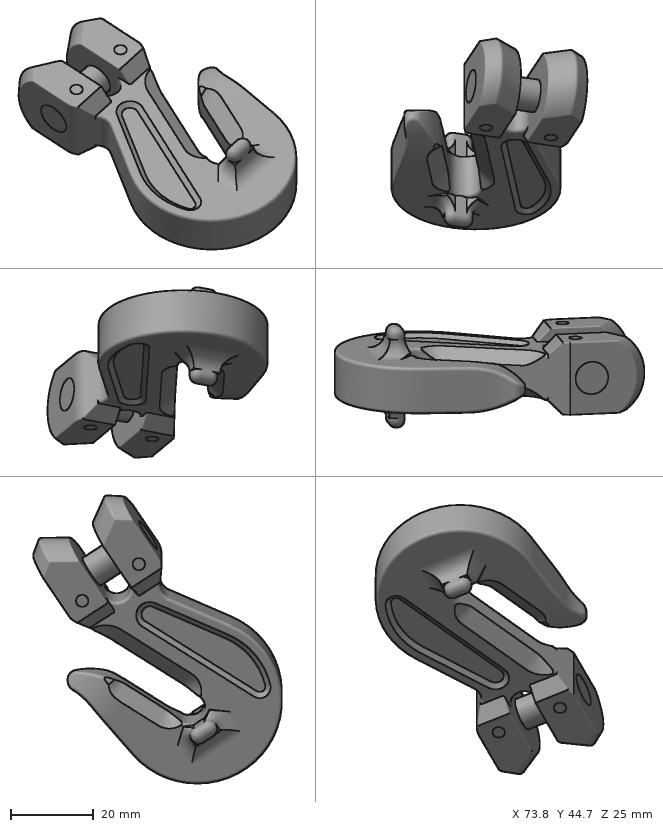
import cadquery as cq
import math


head_half_width = 13.0
head_half_height = 9.0
gap_half_width = 3.4
gap_centre_x = 5.74
plate_start_x = 7.5
nose_x = -13.76
nose_y = 9.5
nose_arc_depth = 4.6
nose_outer_setback = 2.6
nose_inner_setback = 3.9
ear_back_x = 3.5
slope_start_x = 7.0
nose_ridge_radius = 0.75
head_edge_radius = 0.35
head_corner_radius = 4.9

plate_half_thickness = 5.7
plate_edge_radius = 0.8
bowl_centre = (39.75, -0.87)
bowl_radius = 20.43
shank_angle = 32.6
neck_angle = 38.0
neck_point = (8.6, -11.0)
neck_radius = 3.5
back_angle = 7.0
back_end_x = 26.6

slot_angle = 23.8
slot_centre = (40.25, 1.7)
slot_half_width = 3.74
slot_mouth_reach = 15.6
bevel_width = 3.8
bevel_depth = 3.0
bevel_end_radius = 5.2
shank_bevel_start_radius = 6.8
shank_bevel_overlap = 3.2
shank_bevel_span = (-31.3, 0.9)
beak_bevel_overlap = 1.5
beak_bevel_span = (-21.9, 0.9)

tip_centre = (20.3, 21.07)
tip_radius = 2.3
beak_taper_start = (32.2, 20.4)
beak_seam_angle = 70.4
beak_length = 13.65
beak_half_breadth = 12.0
beak_drop = 4.6

panel_offset = 2.35
panel_slot_wall = 7.2
panel_depth = 1.0
panel_inset = 1.3
panel_left_radius = 3.3
panel_right_radius = 2.65

horn_centre = (46.12, 1.55)
horn_radius = 2.0
horn_half_straight = 1.5
horn_top = 12.5
flare_radius = 4.0
flare_clip_x = 3.1
flare_clip_y = 3.8

pin_diameter = 8.0
lock_pin_diameter = 3.0
lock_pin_x = 3.14
lock_pin_y = (gap_half_width + head_half_width) / 2


def unit(degrees):
    angle = math.radians(degrees)
    return (math.cos(angle), math.sin(angle))


def along(point, direction, distance):
    return (point[0] + direction[0] * distance, point[1] + direction[1] * distance)


def dot(a, b):
    return a[0] * b[0] + a[1] * b[1]


def between(start, end):
    return (end[0] - start[0], end[1] - start[1])


def crossing(point_a, direction_a, point_b, direction_b):
    """Point where two lines cross."""
    normal_b = (-direction_b[1], direction_b[0])
    distance = dot(between(point_a, point_b), normal_b) / dot(direction_a, normal_b)
    return along(point_a, direction_a, distance)


def at_x(point, direction, x):
    return along(point, direction, (x - point[0]) / direction[0])


def arc_middle(centre, start, end, radius):
    """Middle of the shorter arc from start to end."""
    chord_middle = along(start, between(start, end), 0.5)
    ray = between(centre, chord_middle)
    return along(centre, ray, radius / math.hypot(*ray))


slot_direction = unit(-slot_angle)
slot_normal = unit(90 - slot_angle)
shank_direction = unit(-shank_angle)
shank_normal = unit(-90 - shank_angle)
neck_direction = unit(neck_angle)
back_direction = unit(-back_angle)
back_normal = unit(90 - back_angle)

slot_low_end = along(slot_centre, slot_normal, -slot_half_width)
slot_high_end = along(slot_centre, slot_normal, slot_half_width)
slot_tip = along(slot_centre, slot_direction, slot_half_width)
shank_tangent = along(bowl_centre, shank_normal, bowl_radius)
back_tangent = along(bowl_centre, back_normal, bowl_radius)
neck_corner = crossing(neck_point, neck_direction, shank_tangent, shank_direction)
plate_top_corner = at_x(slot_low_end, slot_direction, plate_start_x)
plate_low_corner = at_x(neck_point, neck_direction, plate_start_x)
slope_end_x = slope_start_x + head_half_height - plate_half_thickness


def mirrored_pair(body):
    return body.union(body.mirror("XY"))


def plate_blank():
    beak_root = along(slot_high_end, slot_direction, -slot_mouth_reach)
    reach = between(tip_centre, beak_root)
    side_radius = (dot(reach, reach) - tip_radius**2) / (-2 * (dot(reach, slot_normal) + tip_radius))
    side_centre = along(beak_root, slot_normal, side_radius)
    side_ray = between(side_centre, tip_centre)
    side_end = along(side_centre, side_ray, side_radius / math.hypot(*side_ray))

    back_end = at_x(back_tangent, back_direction, back_end_x)
    reach = between(tip_centre, back_end)
    blend_radius = (dot(reach, reach) - tip_radius**2) / (2 * (tip_radius - dot(reach, back_normal)))
    blend_centre = along(back_end, back_normal, blend_radius)
    blend_ray = between(blend_centre, tip_centre)
    blend_end = along(blend_centre, blend_ray, blend_radius / math.hypot(*blend_ray))
    tip_middle = along(tip_centre, unit(135), tip_radius)

    neck_turn = math.radians(neck_angle + shank_angle)
    neck_tangent = neck_radius * math.tan(neck_turn / 2)
    neck_start = along(neck_corner, neck_direction, -neck_tangent)
    neck_end = along(neck_corner, shank_direction, neck_tangent)
    neck_centre = along(neck_end, shank_normal, neck_radius)

    outline = (
        cq.Workplane("XY", origin=(0, 0, -plate_half_thickness))
        .moveTo(*plate_top_corner)
        .lineTo(*slot_low_end)
        .threePointArc(slot_tip, slot_high_end)
        .lineTo(*beak_root)
        .threePointArc(arc_middle(side_centre, beak_root, side_end, side_radius), side_end)
        .threePointArc(tip_middle, blend_end)
        .threePointArc(arc_middle(blend_centre, blend_end, back_end, blend_radius), back_end)
        .lineTo(*back_tangent)
        .threePointArc(along(bowl_centre, (1, 0), bowl_radius), shank_tangent)
        .lineTo(*neck_end)
        .threePointArc(arc_middle(neck_centre, neck_end, neck_start, neck_radius), neck_start)
        .lineTo(*plate_low_corner)
        .lineTo(gap_centre_x, -gap_half_width)
        .threePointArc((gap_centre_x + gap_half_width, 0), (gap_centre_x, gap_half_width))
        .close()
    )
    return outline.extrude(2 * plate_half_thickness)


def beak_taper():
    """Material removed above the beak, leaving a rounded slope that ends thin at the tip."""
    radius = (beak_length**2 + beak_drop**2) / (2 * beak_drop)
    clearance = 2.0
    end_angle = math.asin((beak_length + clearance) / radius)
    end = (radius * math.sin(end_angle), radius * (math.cos(end_angle) - 1))
    middle = (radius * math.sin(end_angle / 2), radius * (math.cos(end_angle / 2) - 1))
    seam = unit(beak_seam_angle)
    toward_tip = unit(beak_seam_angle + 90)
    plane = cq.Plane(
        origin=(*beak_taper_start, plate_half_thickness),
        xDir=(*toward_tip, 0),
        normal=(*seam, 0),
    )
    up = 1 if plane.yDir.z > 0 else -1
    return (
        cq.Workplane(plane)
        .threePointArc((middle[0], up * middle[1]), (end[0], up * end[1]))
        .lineTo(end[0], up * clearance)
        .lineTo(0, up * clearance)
        .close()
        .extrude(beak_half_breadth, both=True)
    )


def slot_bevel(side, span, start_radius, overlap):
    """Tapered cutter that bevels one slot wall; side is +1 for the beak and -1 for the shank.

    The overlap is how far the cutter's centre line lies inside the open slot.
    """
    clearance = 0.5
    slope = bevel_width / bevel_depth
    growth = clearance * slope
    length = span[1] - span[0] + 2 * growth
    width = 2 * (bevel_width + overlap + growth)
    wall_point = along(slot_centre, slot_normal, side * slot_half_width)
    middle = along(wall_point, slot_direction, (span[0] + span[1]) / 2)
    middle = along(middle, slot_normal, -side * overlap)
    plane = cq.Plane(
        origin=(*middle, plate_half_thickness + clearance),
        xDir=(*slot_direction, 0),
        normal=(0, 0, 1),
    )
    blank = cq.Workplane(plane).rect(length, width).extrude(-bevel_depth)
    start_edges, end_edges = [], []
    for edge in blank.edges("|Z").vals():
        centre = edge.Center()
        ahead = dot(between(middle, (centre.x, centre.y)), slot_direction) > 0
        group = end_edges if ahead else start_edges
        group.append(edge)
    rounded = blank.newObject(start_edges).fillet(start_radius + growth)
    rounded = rounded.newObject(end_edges).fillet(bevel_end_radius + growth)
    outline = rounded.faces(">Z").wires().val()
    taper = math.degrees(math.atan(slope))
    return cq.Workplane(plane).add(outline).toPending().extrude(-bevel_depth - clearance, taper=taper)


def panel_recess():
    """Tapered recess whose walls run parallel to the slot and to the outer edge of the shank."""
    wall_low = along(shank_tangent, shank_normal, -panel_offset)
    wall_high = along(slot_low_end, slot_normal, -panel_slot_wall)
    arc_radius = bowl_radius - panel_offset

    left_centre = crossing(
        along(wall_high, slot_normal, -panel_left_radius), slot_direction,
        along(wall_low, shank_normal, -panel_left_radius), shank_direction,
    )
    left_high = along(left_centre, slot_normal, panel_left_radius)
    left_low = along(left_centre, shank_normal, panel_left_radius)
    left_middle = along(left_centre, (-1, 0), panel_left_radius)

    core = along(wall_high, slot_normal, -panel_right_radius)
    from_bowl = between(bowl_centre, core)
    height = dot(from_bowl, slot_normal)
    run = math.sqrt((arc_radius - panel_right_radius) ** 2 - height**2)
    right_centre = along(core, slot_direction, run - dot(from_bowl, slot_direction))
    right_high = along(right_centre, slot_normal, panel_right_radius)
    right_ray = between(bowl_centre, right_centre)
    right_low = along(bowl_centre, right_ray, arc_radius / math.hypot(*right_ray))
    right_middle = along(right_centre, (1, 0), panel_right_radius)

    taper = math.degrees(math.atan2(panel_inset, panel_depth))
    return (
        cq.Workplane("XY", origin=(0, 0, plate_half_thickness))
        .moveTo(*left_high)
        .lineTo(*right_high)
        .threePointArc(right_middle, right_low)
        .threePointArc(arc_middle(bowl_centre, right_low, wall_low, arc_radius), wall_low)
        .lineTo(*left_low)
        .threePointArc(left_middle, left_high)
        .close()
        .extrude(-panel_depth, taper=taper)
    )


def horn():
    centre_x, centre_y = horn_centre
    axis_height = horn_top - horn_radius
    half_length = horn_half_straight + horn_radius
    bar = (
        cq.Workplane("XY", origin=(centre_x, centre_y, 0))
        .slot2D(2 * half_length, 2 * horn_radius, 90)
        .extrude(axis_height)
    )
    crown = (
        cq.Workplane("XZ", origin=(centre_x, centre_y + horn_half_straight, axis_height))
        .circle(horn_radius)
        .extrude(2 * horn_half_straight)
    )
    for end in (-horn_half_straight, horn_half_straight):
        crown = crown.union(
            cq.Workplane("XY", origin=(centre_x, centre_y + end, axis_height)).sphere(horn_radius)
        )

    base = plate_half_thickness
    top = base + flare_radius
    fall = flare_radius * (1 - math.sqrt(0.5))
    reach_x = horn_radius + flare_radius
    reach_y = half_length + flare_radius
    toward_bowl = (
        cq.Workplane("XZ", origin=(centre_x, centre_y + reach_y, 0))
        .moveTo(-horn_radius, 0)
        .lineTo(-horn_radius, top)
        .lineTo(horn_radius, top)
        .threePointArc((horn_radius + fall, base + fall), (reach_x, base))
        .lineTo(reach_x, 0)
        .close()
        .extrude(2 * reach_y)
    )
    endwise = (
        cq.Workplane("YZ", origin=(centre_x - horn_radius, centre_y, 0))
        .moveTo(-reach_y, 0)
        .lineTo(-reach_y, base)
        .threePointArc((-half_length - fall, base + fall), (-half_length, top))
        .lineTo(half_length, top)
        .threePointArc((half_length + fall, base + fall), (reach_y, base))
        .lineTo(reach_y, 0)
        .close()
        .extrude(horn_radius + reach_x)
    )
    footprint = (
        cq.Workplane("XY", origin=(centre_x, centre_y, 0))
        .polyline([
            (0, reach_y), (reach_x, reach_y), (reach_x, -reach_y), (0, -reach_y),
        ])
        .close()
        .extrude(top)
    )
    body = bar.union(crown).union(toward_bowl.intersect(endwise).intersect(footprint))

    for end in (-1, 1):
        turned = (
            cq.Workplane("XZ", origin=(centre_x, centre_y + end * horn_half_straight, 0))
            .moveTo(0, 0)
            .lineTo(0, top)
            .lineTo(horn_radius, top)
            .threePointArc((horn_radius + fall, base + fall), (reach_x, base))
            .lineTo(reach_x, 0)
            .close()
            .revolve(360, (0, 0), (0, 1))
        )
        trim = (
            cq.Workplane("XY", origin=(centre_x, centre_y, 0))
            .polyline([
                (0, end * horn_half_straight), (0, end * reach_y),
                (-flare_clip_x, end * flare_clip_y), (-horn_radius, end * horn_half_straight),
            ])
            .close()
            .extrude(top)
        )
        body = body.union(turned.intersect(trim))
    return body


def hook_plate():
    plate = plate_blank()
    taper = beak_taper()
    plate = plate.cut(taper).cut(taper.mirror("XY"))
    rim = plate.edges("not(|Z)").filter(lambda edge: edge.Center().x > plate_start_x + 0.01)
    plate = rim.fillet(plate_edge_radius)
    shank_bevel = slot_bevel(-1, shank_bevel_span, shank_bevel_start_radius, shank_bevel_overlap)
    beak_bevel = slot_bevel(1, beak_bevel_span, bevel_end_radius, beak_bevel_overlap)
    for cutter in (shank_bevel, beak_bevel, panel_recess()):
        plate = plate.cut(cutter).cut(cutter.mirror("XY"))
    return plate


def ear(side):
    """Ear block with a round nose that comes to a ridge at nose_y."""
    stations = [
        (gap_half_width, nose_inner_setback),
        (nose_y, 0),
        (head_half_width, nose_outer_setback),
    ]
    profiles = []
    for y, setback in stations:
        profile = (
            cq.Workplane("XZ", origin=(0, side * y, 0))
            .moveTo(nose_x + setback + nose_arc_depth, -head_half_height)
            .threePointArc((nose_x + setback, 0), (nose_x + setback + nose_arc_depth, head_half_height))
            .lineTo(ear_back_x, head_half_height)
            .lineTo(ear_back_x, -head_half_height)
            .close()
        )
        profiles.append(profile.val())
    return cq.Workplane(cq.Solid.makeLoft(profiles, True))


def head_root():
    """Block that joins the ears and slopes down to the plate faces."""
    root = (
        cq.Workplane("XY", origin=(0, 0, -head_half_height))
        .moveTo(ear_back_x, head_half_width)
        .lineTo(*crossing(slot_low_end, slot_direction, (0, head_half_width), (1, 0)))
        .lineTo(*at_x(slot_low_end, slot_direction, slope_end_x))
        .lineTo(*at_x(neck_point, neck_direction, slope_end_x))
        .lineTo(*crossing(neck_point, neck_direction, (0, -head_half_width), (1, 0)))
        .lineTo(ear_back_x, -head_half_width)
        .close()
        .extrude(2 * head_half_height)
    )
    corner = crossing(neck_point, neck_direction, (0, -head_half_width), (1, 0))
    root = root.edges(cq.NearestToPointSelector((*corner, 0))).fillet(head_corner_radius)
    side_profile = (
        cq.Workplane("XZ", origin=(0, head_half_width, 0))
        .moveTo(ear_back_x, -head_half_height)
        .lineTo(slope_start_x, -head_half_height)
        .lineTo(slope_end_x, -plate_half_thickness)
        .lineTo(slope_end_x, plate_half_thickness)
        .lineTo(slope_start_x, head_half_height)
        .lineTo(ear_back_x, head_half_height)
        .close()
        .extrude(2 * head_half_width)
    )
    gap = cq.Workplane("XY").box(4 * slope_end_x, 2 * gap_half_width, 2 * head_half_height)
    return root.intersect(side_profile).cut(gap)


def near_nose_ridge(edge):
    return abs(abs(edge.Center().y) - nose_y) < 2 * nose_ridge_radius and edge.Center().x < 0


def clevis_head():
    head = head_root().union(ear(1)).union(ear(-1)).clean()
    ridges = head.edges("not(|Z or |Y)").filter(
        lambda edge: math.isclose(abs(edge.Center().y), nose_y, abs_tol=0.01)
    )
    head = ridges.fillet(nose_ridge_radius)
    rims = head.edges("not(|Z or |Y)").filter(lambda edge: not near_nose_ridge(edge))
    return rims.fillet(head_edge_radius)


def pin_set():
    """Clevis pin with the two lock pins that cross it, flush with the ears."""
    pin = (
        cq.Workplane("XZ", origin=(0, head_half_width, 0))
        .circle(pin_diameter / 2)
        .extrude(2 * head_half_width)
    )
    lock_pins = (
        cq.Workplane("XY", origin=(lock_pin_x, 0, -head_half_height))
        .pushPoints([(0, lock_pin_y), (0, -lock_pin_y)])
        .circle(lock_pin_diameter / 2)
        .extrude(2 * head_half_height)
    )
    return pin.union(lock_pins)


pins = pin_set()
hook = hook_plate().union(clevis_head()).union(mirrored_pair(horn())).cut(pins)

result = cq.Compound.makeCompound([hook.val(), pins.val()])